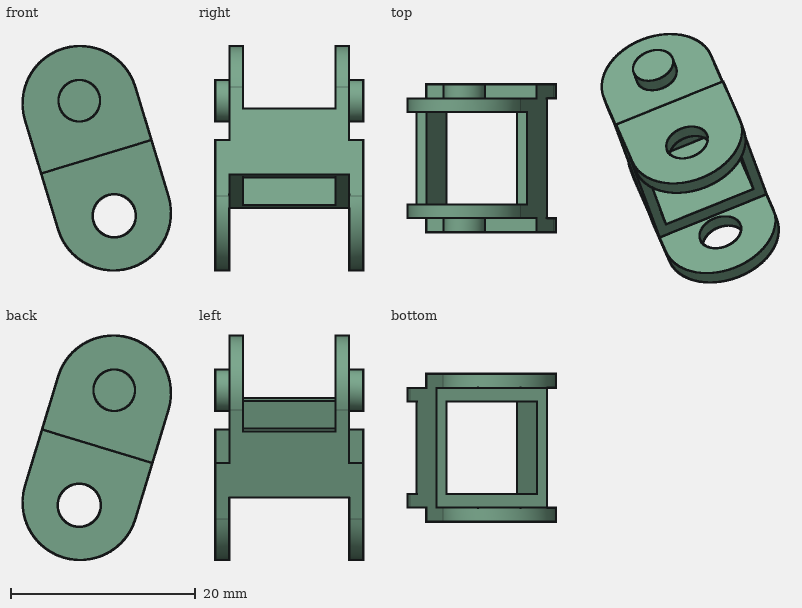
import cadquery as cq

tilt = 16.9
end_radius = 6.25
end_spacing = 12.35
pin_spacing = 13.0
pin_diameter = 4.5
hole_diameter = 4.65
overall_depth = 16.0
outer_thickness = 1.53
inner_thickness = 1.48
bridge_height = 7.48
wall_thickness = 1.15
step_height = 0.17

link_width = 2 * end_radius
upper_depth = overall_depth - 2 * outer_thickness
clear_depth = upper_depth - 2 * inner_thickness
opening_width = link_width - 2 * wall_thickness
bridge_bottom = -bridge_height / 2


def block(width, height, depth, z=0):
    """Box centred on the Z axis at height z."""
    return cq.Workplane("XY").box(width, depth, height).translate((0, 0, z))


def cylinder(radius, depth, z):
    """Cylinder along Y, centred on the Z axis at height z."""
    return cq.Workplane("XZ").center(0, z).circle(radius).extrude(depth / 2, both=True)


def rounded_tab(straight_edge, arc_centre, depth):
    """Tab with one straight end and one round end."""
    length = abs(arc_centre - straight_edge)
    middle = (arc_centre + straight_edge) / 2
    body = block(link_width, length, depth, middle)
    return body.union(cylinder(end_radius, depth, arc_centre))


def central_gap(depth):
    """Block that clears the middle of the link along its whole length."""
    return block(link_width, end_spacing + link_width, depth)


upper_plates = rounded_tab(bridge_bottom, end_spacing / 2, upper_depth).cut(central_gap(clear_depth))

bridge_opening = block(opening_width, bridge_height, clear_depth)
side_walls = block(link_width, bridge_height, clear_depth).cut(bridge_opening)

hole = cylinder(hole_diameter / 2, overall_depth, -pin_spacing / 2)
lower_plates = (
    rounded_tab(step_height, -end_spacing / 2, overall_depth)
    .cut(central_gap(upper_depth))
    .cut(hole)
)

pins = cylinder(pin_diameter / 2, overall_depth, pin_spacing / 2).cut(central_gap(upper_depth))

link = upper_plates.union(side_walls).union(lower_plates).union(pins)
result = link.rotate((0, 0, 0), (0, 1, 0), -tilt)